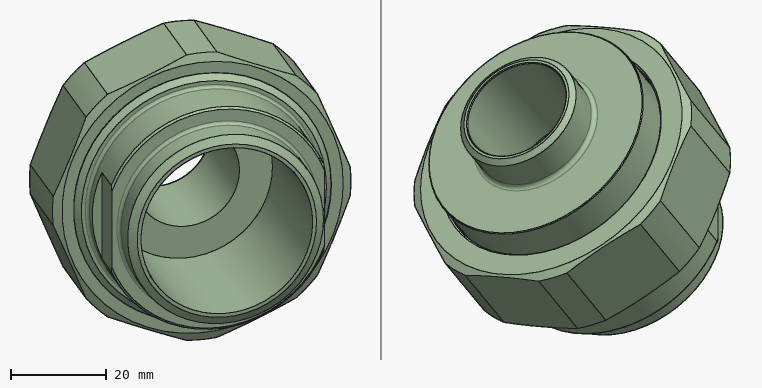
import cadquery as cq
import math


length = 56.0
tail_face_x = 9.1
nut_start_x = 16.55
nut_length = 20.0
nut_end_x = nut_start_x + nut_length
lip_thickness = 3.9
shoulder_x = nut_start_x + lip_thickness
tail_collar_length = 3.25
joint_x = shoulder_x + tail_collar_length
thread_end_x = 37.6
hub_end_x = 48.95

tail_bore_r = 22.9 / 2
tail_nozzle_r = 26.9 / 2
tail_hub_r = 50.0 / 2
tail_collar_r = 54.0 / 2
tail_bevel_length = 0.9
tail_bevel_depth = 1.2
tail_fillet = 1.0
edge_chamfer = 0.2

body_bore_r = 37.2 / 2
body_nozzle_r = 42.4 / 2
body_hub_r = tail_hub_r
thread_r = 55.8 / 2
thread_chamfer = 1.35
body_bevel_length = 1.05
body_bevel_depth = body_bevel_length * math.tan(math.radians(60))
body_fillet = 0.7
hub_chamfer = 0.45
flat_distance = 23.0
flat_start_x = 40.5
flat_ramp_angle = 15.0

nut_sides = 8
nut_corner_r = 32.35
nut_apothem = 31.0
nut_face_r = 30.45
nut_chamfer_length = 0.7
nut_hole_r = 50.5 / 2
nut_hole_chamfer = 0.4


def revolve_about_x(profile):
    """Revolve a closed (x, radius) profile about the X axis."""
    return profile.close().revolve(360, (0, 0, 0), (1, 0, 0))


def fillet_end(profile, x, radius, bulge_x, bulge_r):
    """Draw a quarter-circle concave fillet whose arc middle is at (bulge_x, bulge_r)."""
    return profile.threePointArc((bulge_x, bulge_r), (x, radius))


def make_tail():
    arc_inset = tail_fillet * (1 - math.sqrt(0.5))
    profile = (
        cq.Workplane("XY")
        .moveTo(edge_chamfer, tail_bore_r)
        .lineTo(0, tail_bore_r + edge_chamfer)
        .lineTo(0, tail_nozzle_r - tail_bevel_depth)
        .lineTo(tail_bevel_length, tail_nozzle_r)
        .lineTo(tail_face_x - tail_fillet, tail_nozzle_r)
    )
    profile = fillet_end(
        profile, tail_face_x, tail_nozzle_r + tail_fillet,
        tail_face_x - arc_inset, tail_nozzle_r + arc_inset,
    )
    profile = (
        profile.lineTo(tail_face_x, tail_hub_r - edge_chamfer)
        .lineTo(tail_face_x + edge_chamfer, tail_hub_r)
        .lineTo(shoulder_x, tail_hub_r)
        .lineTo(shoulder_x, tail_collar_r)
        .lineTo(joint_x, tail_collar_r)
        .lineTo(joint_x, tail_bore_r)
    )
    return revolve_about_x(profile)


def make_flat_cutter():
    """Wedge that cuts one wrench flat on the +Y side, with a steep ramp at its start."""
    depth = thread_r - flat_distance
    ramp = math.tan(math.radians(flat_ramp_angle))
    ramp_foot_x = flat_start_x + (body_hub_r - flat_distance) * ramp
    return (
        cq.Workplane("XY")
        .moveTo(ramp_foot_x, flat_distance)
        .lineTo(ramp_foot_x - depth * ramp, thread_r)
        .lineTo(length, thread_r)
        .lineTo(length, flat_distance)
        .close()
        .extrude(thread_r, both=True)
    )


def make_body():
    arc_inset = body_fillet * (1 - math.sqrt(0.5))
    profile = (
        cq.Workplane("XY")
        .moveTo(joint_x, body_bore_r)
        .lineTo(joint_x, thread_r)
        .lineTo(thread_end_x - thread_chamfer, thread_r)
        .lineTo(thread_end_x, thread_r - thread_chamfer)
        .lineTo(thread_end_x, body_hub_r + body_fillet)
    )
    profile = fillet_end(
        profile, thread_end_x + body_fillet, body_hub_r,
        thread_end_x + arc_inset, body_hub_r + arc_inset,
    )
    profile = (
        profile.lineTo(hub_end_x - hub_chamfer, body_hub_r)
        .lineTo(hub_end_x, body_hub_r - hub_chamfer)
        .lineTo(hub_end_x, body_nozzle_r + body_fillet)
    )
    profile = fillet_end(
        profile, hub_end_x + body_fillet, body_nozzle_r,
        hub_end_x + arc_inset, body_nozzle_r + arc_inset,
    )
    profile = (
        profile.lineTo(length - body_bevel_length, body_nozzle_r)
        .lineTo(length, body_nozzle_r - body_bevel_depth)
        .lineTo(length, body_bore_r)
    )
    body = revolve_about_x(profile)

    flat_cutter = make_flat_cutter()
    for angle in (0, 180):
        body = body.cut(flat_cutter.rotate((0, 0, 0), (1, 0, 0), angle))
    return body


def make_nut():
    octagon_diameter = 2 * nut_apothem / math.cos(math.pi / nut_sides)
    octagon = (
        cq.Workplane("YZ", origin=(nut_start_x, 0, 0))
        .polygon(nut_sides, octagon_diameter)
        .extrude(nut_length)
    )

    profile = (
        cq.Workplane("XY")
        .moveTo(nut_start_x, nut_hole_r + nut_hole_chamfer)
        .lineTo(nut_start_x, nut_face_r)
        .lineTo(nut_start_x + nut_chamfer_length, nut_corner_r)
        .lineTo(nut_end_x - nut_chamfer_length, nut_corner_r)
        .lineTo(nut_end_x, nut_face_r)
        .lineTo(nut_end_x, thread_r)
        .lineTo(shoulder_x, thread_r)
        .lineTo(shoulder_x, nut_hole_r)
        .lineTo(nut_start_x + nut_hole_chamfer, nut_hole_r)
    )
    return octagon.intersect(revolve_about_x(profile))


tail = make_tail()
body = make_body()
nut = make_nut()

result = cq.Compound.makeCompound([tail.val(), body.val(), nut.val()])